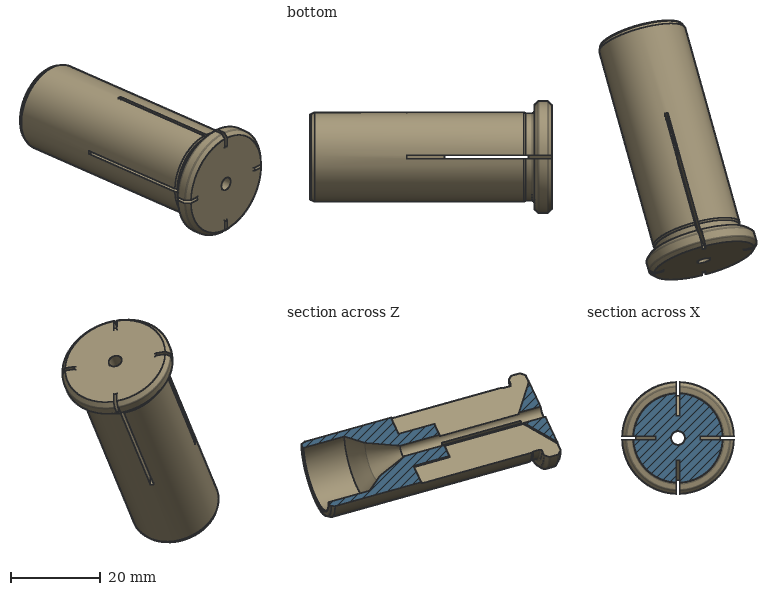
import cadquery as cq
import math

length = 54.0
body_radius = 20.0 / 2
flange_radius = 25.0 / 2

nose_length = 1.0
nose_radius = 9.6
nose_round = 0.25

neck_start = 47.7
neck_taper = 0.5
neck_radius = 9.8
neck_fillet = 0.5

flange_width = 4.0
flange_start = length - flange_width
back_chamfer = 0.9
front_chamfer = 0.95
rim_round = 0.3

bore_radius = 16.5 / 2
bore_depth = 9.85
bore_bevel = 0.2
shoulder_radius = 10.0 / 2
hole_radius = 3.0 / 2
shoulder_half_angle = math.radians(42)
point_half_angle = math.radians(26)

slot_count = 4
slot_width = 0.75
slot_start = 21.55
slot_deep_start = 30.0
slot_deep_end = 48.7
slot_floor_radius = shoulder_radius
slot_end_radius = 9.45


def make_body():
    """Revolve the outer profile of sleeve, neck and flange."""
    outline = (
        cq.Workplane("XY")
        .lineTo(0, nose_radius - nose_round)
        .radiusArc((nose_round, nose_radius), nose_round)
        .lineTo(nose_length, body_radius)
        .lineTo(neck_start, body_radius)
        .lineTo(neck_start + neck_taper, neck_radius)
        .lineTo(flange_start - neck_fillet, neck_radius)
        .radiusArc((flange_start, neck_radius + neck_fillet), -neck_fillet)
        .lineTo(flange_start, flange_radius - back_chamfer)
        .lineTo(flange_start + back_chamfer, flange_radius)
        .lineTo(length - front_chamfer, flange_radius)
        .lineTo(length, flange_radius - front_chamfer)
        .lineTo(length, 0)
        .close()
    )
    body = outline.revolve(360, (0, 0, 0), (1, 0, 0))
    inner_limit = neck_radius + 2 * neck_fillet
    rim_edges = body.edges("%CIRCLE").filter(
        lambda edge: edge.radius() > inner_limit and edge.Center().x < length - front_chamfer / 2
    )
    return rim_edges.fillet(rim_round)


def make_bore():
    """Revolve the bore, narrowing through two cones to the central hole."""
    shoulder_end = bore_depth + (bore_radius - shoulder_radius) / math.tan(shoulder_half_angle)
    point_end = shoulder_end + (shoulder_radius - hole_radius) / math.tan(point_half_angle)
    outline = (
        cq.Workplane("XY")
        .lineTo(0, bore_radius + bore_bevel)
        .lineTo(bore_bevel, bore_radius)
        .lineTo(bore_depth, bore_radius)
        .lineTo(shoulder_end, shoulder_radius)
        .lineTo(point_end, hole_radius)
        .lineTo(length, hole_radius)
        .lineTo(length, 0)
        .close()
    )
    return outline.revolve(360, (0, 0, 0), (1, 0, 0))


def make_slot():
    """One slot that reaches the axis mid-length and rises to the flange face."""
    outline = [
        (slot_start, flange_radius),
        (slot_start, slot_floor_radius),
        (slot_deep_start, slot_floor_radius),
        (slot_deep_start, 0),
        (slot_deep_end, 0),
        (slot_deep_end, hole_radius),
        (length, slot_end_radius),
        (length, flange_radius),
    ]
    return cq.Workplane("XY").polyline(outline).close().extrude(slot_width / 2, both=True)


result = make_body().cut(make_bore())
slot = make_slot()
for index in range(slot_count):
    angle = index * 360 / slot_count
    result = result.cut(slot.rotate((0, 0, 0), (1, 0, 0), angle))